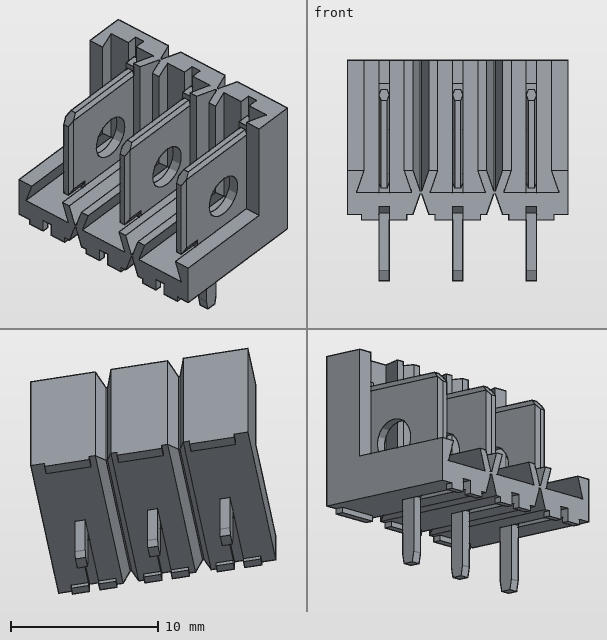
import cadquery as cq


POLE_COUNT = 3
ROW_LENGTH = 15.0
POLE_PITCH = ROW_LENGTH / POLE_COUNT

DEPTH = 10.5
TOP_Z = 15.0
BOTTOM_Z = 4.5
LEG_THICKNESS = 3.0
RIM_Z = BOTTOM_Z + LEG_THICKNESS
WALL_FRONT_Y = DEPTH - LEG_THICKNESS

CHANNEL_DEPTH = 1.5
CHANNEL_MOUTH_WIDTH = 2.73
CHANNEL_BASE_WIDTH = 3.75

GROOVE_MOUTH_WIDTH = 1.08
GROOVE_ROOT_WIDTH = 0.1
WEB_THICKNESS = 0.21
GROOVE_DEPTH = (LEG_THICKNESS - WEB_THICKNESS) / 2

FOOT_WIDTH = 3.09
FRONT_FOOT_LENGTH = 0.5
BACK_FOOT_LENGTH = 0.6
FOOT_HEIGHT = 0.38

PLATE_THICKNESS = 0.7

ROOT_FRONT_Y = 3.55
ROOT_BACK_Y = 9.66
ROOT_BOTTOM_Z = 5.04
COLUMN_FRONT_Y = 8.76
COLUMN_TOP_Z = 13.4

BLADE_FRONT_Y = 2.0
BLADE_BOTTOM_Z = 6.3
BLADE_TOP_Z = 13.0
BEVEL_LENGTH = 0.38
BEVEL_DEPTH = 0.15
BLADE_CORNER_CUT = 2 * BEVEL_LENGTH
BLADE_HOLE_DIAMETER = 3.0
BLADE_HOLE_Y = 6.28
BLADE_HOLE_Z = 8.79

PIN_FRONT_Y = 4.5
PIN_LENGTH_Y = 1.02
PIN_BACK_Y = PIN_FRONT_Y + PIN_LENGTH_Y
PIN_TAPER_HEIGHT = 0.72
PIN_TAPER_INSET = 0.14
PIN_SHOULDER_HEIGHT = 0.42
PIN_SHOULDER_LENGTH = 0.25

SLOT_BACK_Y = 9.78


def pole_center(index):
    return (index + 0.5) * POLE_PITCH


def block(center_x, width, y_range, z_range):
    """Box centred on center_x that spans the given Y and Z ranges."""
    y_min, y_max = y_range
    z_min, z_max = z_range
    corner = (center_x - width / 2, y_min, z_min)
    return cq.Workplane("XY").box(width, y_max - y_min, z_max - z_min, centered=False).translate(corner)


def l_groove(center_x, corner_y, surface_z, mouth_width, bottom_width, depth):
    """Trapezoid groove that runs back along a floor face, then up a wall face with a mitred corner.

    The floor face lies at surface_z and the wall face at corner_y. A positive depth goes up
    from the floor face and forward from the wall face; a negative depth goes the other way.
    """
    half_mouth = mouth_width / 2
    half_bottom = bottom_width / 2
    section = [
        (center_x - half_mouth, surface_z),
        (center_x + half_mouth, surface_z),
        (center_x + half_bottom, surface_z + depth),
        (center_x - half_bottom, surface_z + depth),
    ]
    path = cq.Workplane("YZ", origin=(center_x, 0, 0)).polyline(
        [(0, surface_z), (corner_y, surface_z), (corner_y, TOP_Z)]
    )
    return cq.Workplane("XZ").polyline(section).close().sweep(path, transition="right")


def make_housing_shell():
    profile = [
        (0, BOTTOM_Z),
        (DEPTH, BOTTOM_Z),
        (DEPTH, TOP_Z),
        (WALL_FRONT_Y, TOP_Z),
        (WALL_FRONT_Y, RIM_Z),
        (0, RIM_Z),
    ]
    return cq.Workplane("YZ").polyline(profile).close().extrude(ROW_LENGTH)


def cut_pole_grooves(body):
    """Pairs of V-grooves, inside and outside the L, between neighbouring poles."""
    for index in range(1, POLE_COUNT):
        x = index * POLE_PITCH
        inner = l_groove(x, WALL_FRONT_Y, RIM_Z, GROOVE_MOUTH_WIDTH, GROOVE_ROOT_WIDTH, -GROOVE_DEPTH)
        outer = l_groove(x, DEPTH, BOTTOM_Z, GROOVE_MOUTH_WIDTH, GROOVE_ROOT_WIDTH, GROOVE_DEPTH)
        body = body.cut(inner).cut(outer)
    return body


def add_feet(body, center_x):
    foot_z = (BOTTOM_Z - FOOT_HEIGHT, BOTTOM_Z)
    front_foot = block(center_x, FOOT_WIDTH, (0, FRONT_FOOT_LENGTH), foot_z)
    back_foot = block(center_x, FOOT_WIDTH, (DEPTH - BACK_FOOT_LENGTH, DEPTH), foot_z)
    return body.union(front_foot).union(back_foot)


def cut_terminal_slots(body, center_x):
    """Slot for the root, a hole for the pin and an open groove from the front to the pin."""
    root_slot = block(center_x, PLATE_THICKNESS, (ROOT_FRONT_Y, SLOT_BACK_Y), (ROOT_BOTTOM_Z, TOP_Z))
    pin_groove = block(center_x, PLATE_THICKNESS, (0, PIN_BACK_Y), (BOTTOM_Z - FOOT_HEIGHT, ROOT_BOTTOM_Z))
    return body.cut(root_slot).cut(pin_groove)


def make_housing():
    body = cut_pole_grooves(make_housing_shell())
    for index in range(POLE_COUNT):
        x = pole_center(index)
        body = body.cut(
            l_groove(x, WALL_FRONT_Y, RIM_Z, CHANNEL_MOUTH_WIDTH, CHANNEL_BASE_WIDTH, -CHANNEL_DEPTH)
        )
        body = add_feet(body, x)
        body = cut_terminal_slots(body, x)
    return body


def plate(center_x, outline):
    """Plate of terminal thickness, centred on center_x, with a (Y, Z) outline."""
    start = cq.Workplane("YZ", origin=(center_x - PLATE_THICKNESS / 2, 0, 0))
    return start.polyline(outline).close().extrude(PLATE_THICKNESS)


def make_blade(center_x):
    """Blade with bevelled top, front and bottom edges, a cut corner and a round hole."""
    half_full = PLATE_THICKNESS / 2
    half_edge = half_full - BEVEL_DEPTH
    across_height = [
        (center_x - half_edge, BLADE_BOTTOM_Z),
        (center_x + half_edge, BLADE_BOTTOM_Z),
        (center_x + half_full, BLADE_BOTTOM_Z + BEVEL_LENGTH),
        (center_x + half_full, BLADE_TOP_Z - BEVEL_LENGTH),
        (center_x + half_edge, BLADE_TOP_Z),
        (center_x - half_edge, BLADE_TOP_Z),
        (center_x - half_full, BLADE_TOP_Z - BEVEL_LENGTH),
        (center_x - half_full, BLADE_BOTTOM_Z + BEVEL_LENGTH),
    ]
    across_depth = [
        (center_x - half_edge, BLADE_FRONT_Y),
        (center_x + half_edge, BLADE_FRONT_Y),
        (center_x + half_full, BLADE_FRONT_Y + BEVEL_LENGTH),
        (center_x + half_full, ROOT_BACK_Y),
        (center_x - half_full, ROOT_BACK_Y),
        (center_x - half_full, BLADE_FRONT_Y + BEVEL_LENGTH),
    ]
    height_prism = cq.Workplane("XZ").polyline(across_height).close().extrude(-DEPTH)
    depth_prism = cq.Workplane("XY").polyline(across_depth).close().extrude(TOP_Z)
    corner = plate(
        center_x,
        [
            (BLADE_FRONT_Y, BLADE_TOP_Z),
            (BLADE_FRONT_Y + BLADE_CORNER_CUT, BLADE_TOP_Z),
            (BLADE_FRONT_Y, BLADE_TOP_Z - BLADE_CORNER_CUT),
        ],
    )
    hole = (
        cq.Workplane("YZ", origin=(center_x - PLATE_THICKNESS / 2, BLADE_HOLE_Y, BLADE_HOLE_Z))
        .circle(BLADE_HOLE_DIAMETER / 2)
        .extrude(PLATE_THICKNESS)
    )
    return height_prism.intersect(depth_prism).cut(corner).cut(hole)


def make_terminal(center_x):
    """Flat plate whose root carries the blade and the tapered solder pin."""
    root_top_z = BLADE_BOTTOM_Z + BEVEL_LENGTH
    root_and_pin = [
        (ROOT_FRONT_Y, root_top_z),
        (ROOT_FRONT_Y, ROOT_BOTTOM_Z),
        (PIN_FRONT_Y - PIN_SHOULDER_LENGTH, ROOT_BOTTOM_Z),
        (PIN_FRONT_Y, ROOT_BOTTOM_Z - PIN_SHOULDER_HEIGHT),
        (PIN_FRONT_Y, PIN_TAPER_HEIGHT),
        (PIN_FRONT_Y + PIN_TAPER_INSET, 0),
        (PIN_BACK_Y - PIN_TAPER_INSET, 0),
        (PIN_BACK_Y, PIN_TAPER_HEIGHT),
        (PIN_BACK_Y, ROOT_BOTTOM_Z),
        (ROOT_BACK_Y, ROOT_BOTTOM_Z),
        (ROOT_BACK_Y, COLUMN_TOP_Z),
        (COLUMN_FRONT_Y, COLUMN_TOP_Z),
        (COLUMN_FRONT_Y, root_top_z),
    ]
    return plate(center_x, root_and_pin).union(make_blade(center_x))


housing = make_housing()
terminals = [make_terminal(pole_center(index)) for index in range(POLE_COUNT)]

result = cq.Compound.makeCompound([housing.val(), *[terminal.val() for terminal in terminals]])